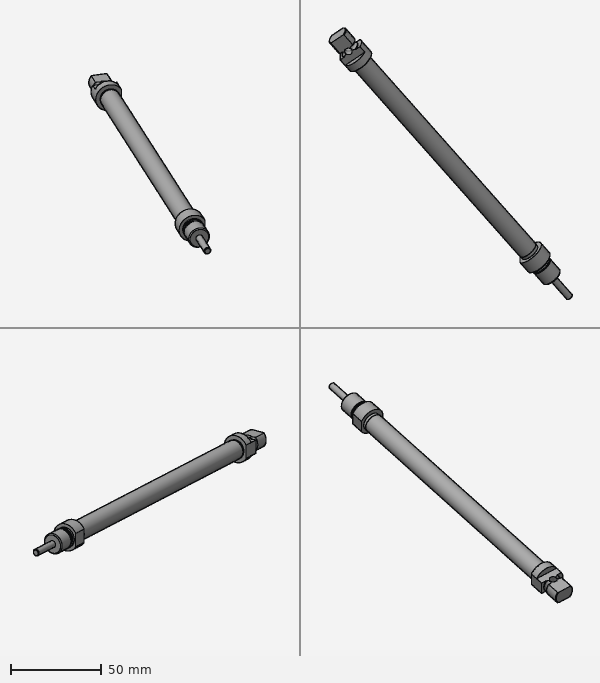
import cadquery as cq


cap_diameter = 16.0
thread_diameter = 12.0
barrel_diameter = 11.4
cap_neck_diameter = 11.0
cap_flat_offset = 7.0
groove_rim_length = 0.5

tang_length = 8.5
collar_start = 11.5
tang_thickness = 8.0
tang_flat_length = 16.0
collar_end = 20.9
pivot_hole_x = 10.1
pivot_hole_diameter = 4.2
waist_rim_diameter = 11.0
waist_floor_diameter = 8.5
tang_chamfer = 0.5

barrel_start = 22.0
barrel_end = 172.8

front_collar_start = 174.7
front_collar_end = 182.7
shoulder_end = 184.0
undercut_end = 185.7
thread_end = 195.0
thread_chamfer = 0.6
undercut_rim_diameter = 10.5
undercut_floor_diameter = 9.7

rod_end = 211.0
rod_diameter = 4.0
rod_chamfer = 0.5


def cylinder(diameter, x_start, x_end):
    """Solid round bar on the axis between two X positions."""
    return cq.Workplane("YZ", origin=(x_start, 0, 0)).circle(diameter / 2).extrude(x_end - x_start)


def collar(x_start, x_end):
    """Large round section of a cap with a flat along its +Y side."""
    width = cap_diameter / 2 + cap_flat_offset
    keep = cq.Workplane("XY").box(x_end - x_start, width, cap_diameter, centered=(False, False, True))
    return cylinder(cap_diameter, x_start, x_end).intersect(keep.translate((x_start, -cap_diameter / 2, 0)))


def grooved_neck(x_start, x_end, rim_diameter, floor_diameter):
    """Round section with a concave side that ends in a short plain rim."""
    rim_radius = rim_diameter / 2
    rim_start = x_end - groove_rim_length
    middle = (x_start + rim_start) / 2
    profile = (
        cq.Workplane("XY")
        .moveTo(x_start, 0)
        .lineTo(x_start, rim_radius)
        .threePointArc((middle, floor_diameter / 2), (rim_start, rim_radius))
        .lineTo(x_end, rim_radius)
        .lineTo(x_end, 0)
        .close()
    )
    return profile.revolve(360, (0, 0, 0), (1, 0, 0))


def make_rear_cap():
    tang = cylinder(thread_diameter, 0, tang_length).faces("<X").chamfer(tang_chamfer)
    waist = grooved_neck(tang_length, collar_start, waist_rim_diameter, waist_floor_diameter)
    neck = cylinder(cap_neck_diameter, collar_end, barrel_start)
    cap = tang.union(waist).union(collar(collar_start, collar_end)).union(neck)

    flat_cut = cq.Workplane("XY").box(
        tang_flat_length, cap_diameter, cap_diameter, centered=(False, True, False)
    )
    cap = cap.cut(flat_cut.translate((0, 0, tang_thickness / 2)))
    cap = cap.cut(flat_cut.translate((0, 0, -tang_thickness / 2 - cap_diameter)))

    pivot_hole = cq.Workplane("XY").center(pivot_hole_x, 0).circle(pivot_hole_diameter / 2)
    return cap.cut(pivot_hole.extrude(cap_diameter, both=True))


def make_barrel():
    return cylinder(barrel_diameter, barrel_start, barrel_end)


def make_front_cap():
    neck = cylinder(cap_neck_diameter, barrel_end, front_collar_start)
    shoulder = cylinder(thread_diameter, front_collar_end, shoulder_end)
    undercut = grooved_neck(shoulder_end, undercut_end, undercut_rim_diameter, undercut_floor_diameter)
    thread = cylinder(thread_diameter, undercut_end, thread_end).faces(">X").chamfer(thread_chamfer)
    cap = neck.union(collar(front_collar_start, front_collar_end)).union(shoulder)
    cap = cap.union(undercut).union(thread)
    return cap.cut(cylinder(rod_diameter, barrel_end, thread_end))


def make_piston_rod():
    return cylinder(rod_diameter, barrel_end, rod_end).faces(">X").chamfer(rod_chamfer)


rear_cap = make_rear_cap()
barrel = make_barrel()
front_cap = make_front_cap()
piston_rod = make_piston_rod()

result = cq.Compound.makeCompound([rear_cap.val(), barrel.val(), front_cap.val(), piston_rod.val()])